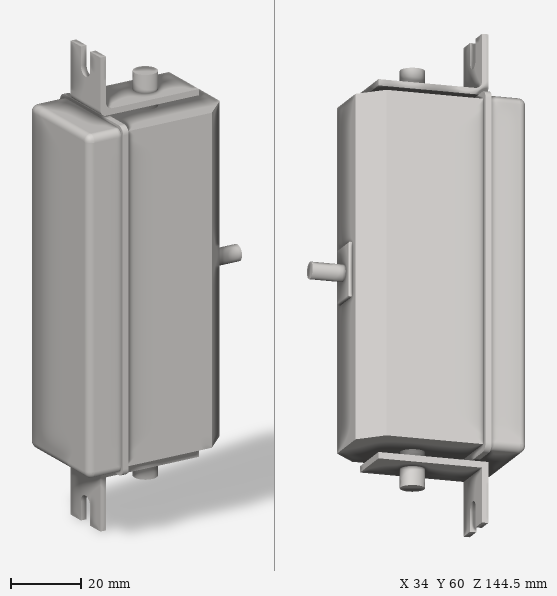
import cadquery as cq


body_width = 30.0
body_height = 102.2
body_rear_y = 49.0
body_chamfer = 7.0

cover_width = 32.0
cover_height = 104.8
cover_corner_radius = 2.2
cover_edge_radius = 2.0
flange_width = 34.0
flange_height = 106.6
flange_front_y = 11.0
flange_thickness = 1.9
flange_corner_radius = 2.3
flange_rear_y = flange_front_y + flange_thickness

total_height = 144.5
terminal_diameter = 7.2
terminal_y = 29.0
terminal_tip_z = 61.7
bracket_width = 16.2
bracket_front_y = 9.0
bracket_rear_y = 42.0
bracket_base_z = 54.2
bracket_thickness = 1.9
bracket_outer_bend = 1.9
bracket_inner_bend = 2.0
slot_width = 4.9
slot_depth = 8.4

pad_width = 10.1
pad_height = 16.2
pad_thickness = 1.0
pad_edge_radius = 0.5
stud_diameter = 5.0
stud_tip_y = 60.0


def block(width, height, front_y, rear_y):
    """Box centred in X and Z, spanning front_y to rear_y."""
    depth = rear_y - front_y
    return cq.Workplane("XY").box(width, depth, height).translate((0, front_y + depth / 2, 0))


def make_body():
    body = block(body_width, body_height, flange_front_y, body_rear_y)
    return body.edges("|Z and >Y").chamfer(body_chamfer)


def make_cover():
    cover = block(cover_width, cover_height, 0, flange_front_y)
    cover = cover.edges("|Y").fillet(cover_corner_radius)
    return cover.faces("<Y").edges().fillet(cover_edge_radius)


def make_flange():
    flange = block(flange_width, flange_height, flange_front_y, flange_rear_y)
    return flange.edges("|Y").fillet(flange_corner_radius)


def make_terminal_pins():
    pins = cq.Workplane("XY").center(0, terminal_y).circle(terminal_diameter / 2)
    return pins.extrude(terminal_tip_z, both=True)


def make_bracket(rounded_bend):
    """Upper L-shaped bracket with an open slot in its upright leg."""
    bracket_tip_z = total_height / 2
    upright_rear_y = bracket_front_y + bracket_thickness
    base_top_z = bracket_base_z + bracket_thickness
    bracket = (
        cq.Workplane("YZ")
        .moveTo(bracket_front_y, bracket_base_z)
        .lineTo(bracket_rear_y, bracket_base_z)
        .lineTo(bracket_rear_y, base_top_z)
        .lineTo(upright_rear_y, base_top_z)
        .lineTo(upright_rear_y, bracket_tip_z)
        .lineTo(bracket_front_y, bracket_tip_z)
        .close()
        .extrude(bracket_width / 2, both=True)
    )
    if rounded_bend:
        outer_corner = cq.NearestToPointSelector((0, bracket_front_y, bracket_base_z))
        bracket = bracket.edges("|X").edges(outer_corner).fillet(bracket_outer_bend)
        inner_corner = cq.NearestToPointSelector((0, upright_rear_y, base_top_z))
        bracket = bracket.edges("|X").edges(inner_corner).fillet(bracket_inner_bend)

    slot_radius = slot_width / 2
    slot_arc_z = bracket_tip_z - slot_depth + slot_radius
    slot = (
        cq.Workplane("XZ", origin=(0, upright_rear_y, 0))
        .moveTo(-slot_radius, bracket_tip_z)
        .lineTo(-slot_radius, slot_arc_z)
        .threePointArc((0, bracket_tip_z - slot_depth), (slot_radius, slot_arc_z))
        .lineTo(slot_radius, bracket_tip_z)
        .close()
        .extrude(bracket_thickness)
    )
    return bracket.cut(slot)


def make_rear_pad():
    pad = block(pad_width, pad_height, body_rear_y, body_rear_y + pad_thickness)
    return pad.faces(">Y").edges().fillet(pad_edge_radius)


def make_stud():
    stud = cq.Workplane("XZ", origin=(0, stud_tip_y, 0)).circle(stud_diameter / 2)
    return stud.extrude(stud_tip_y - body_rear_y)


upper_bracket = make_bracket(rounded_bend=True)
lower_bracket = make_bracket(rounded_bend=False).mirror("XY")

result = (
    make_body()
    .union(make_cover())
    .union(make_flange())
    .union(make_terminal_pins())
    .union(upper_bracket)
    .union(lower_bracket)
    .union(make_rear_pad())
    .union(make_stud())
)